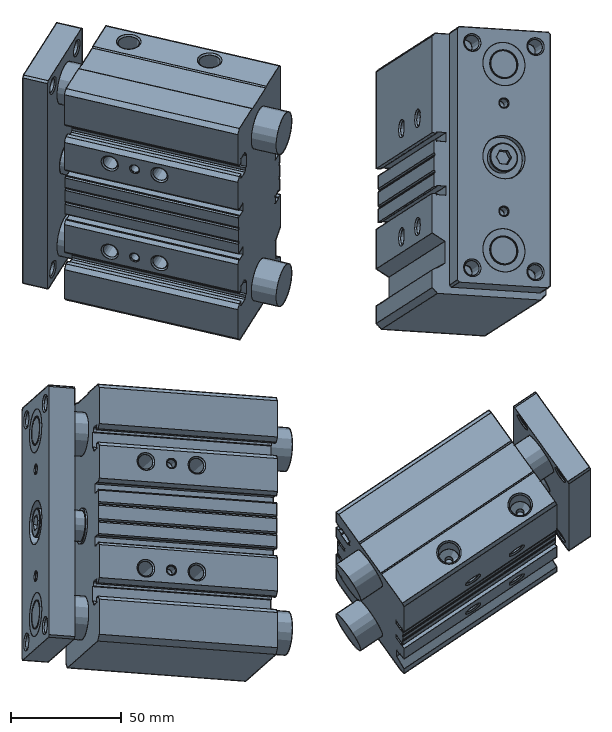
import cadquery as cq
import math


overall_length = 118.0
plate_thickness = 12.0
plate_gap = 10.1
housing_length = 83.9
plate_front = -overall_length / 2
plate_back = plate_front + plate_thickness
housing_front = plate_back + plate_gap

housing_depth = 54.0
housing_height = 120.0
half_depth = housing_depth / 2
half_height = housing_height / 2
corner_bevel = 2.0
foot_bevel = 2.5
back_top_bevel = 1.5
top_recess_mouth = 18.0
top_recess_floor = 16.5
top_recess_depth = 0.5

t_slot_z = 36.0
t_slot_opening = 6.2
t_slot_cavity_height = 11.0
t_slot_lip = 4.1
t_slot_cavity_depth = 9.5
t_slot_relief_height = 7.1
t_slot_depth = 10.7
t_slot_mouth_bevel = 1.9
t_slot_root_bevel = 0.6
side_slot_z = 12.4
side_slot_width = 4.2
side_slot_mouth = 3.2
side_slot_lip = 2.3
side_slot_depth = 6.6
front_slot_bevel = 1.5
band_recess = 1.0
v_groove_z = 4.0
v_groove_width = 1.7
v_groove_depth = 0.5
back_channel_z = -40.8
back_channel_mouth = 17.0
back_channel_depth = 6.0
back_channel_slope = 30.0

mount_hole_z = 25.0
mount_hole_xs = (housing_front + 22.0, housing_front + 46.0)
mount_hole_diameter = 6.8
mount_hole_mouth = 8.3
housing_pin_x = housing_front + 34.0
pin_diameter = 4.0
pin_mouth = 4.8
pin_hole_depth = 6.0
port_xs = (housing_front + 13.9, housing_front + 53.0)
port_y = 18.0
port_diameter = 9.6
port_mouth = 11.0
port_depth = 12.0
port_passage_diameter = 3.6
port_passage_depth = 4.8
drill_point_angle = 118.0

plate_depth = 44.0
plate_height = 118.0
plate_bevel = 1.0
plate_screw_y = 15.0
plate_screw_z = 52.0
plate_screw_diameter = 6.8
plate_screw_mouth = 8.2

guide_diameter = 19.9
guide_z = 43.0
guide_ring_diameter = 13.2
guide_ring_width = 0.4
guide_ring_depth = 0.5
piston_diameter = 14.0
piston_spigot_diameter = 13.2
piston_bevel = 0.4
piston_engagement = housing_length / 2
piston_counterbore_depth = 4.0
collar_diameter = 16.3
collar_length = 0.8
hex_flats = 6.2
hex_depth = 3.0

INTO_X = cq.Vector(1, 0, 0)
INTO_Y = cq.Vector(0, 1, 0)
DOWN_Z = cq.Vector(0, 0, -1)


def cylinder(start, direction, diameter, length):
    return cq.Solid.makeCylinder(diameter / 2, length, start, direction)


def drill_point(start, direction, large_diameter, small_diameter=0.0):
    """Cone that a drill leaves between two diameters, and its length."""
    length = (large_diameter - small_diameter) / 2 / math.tan(math.radians(drill_point_angle / 2))
    cone = cq.Solid.makeCone(large_diameter / 2, small_diameter / 2, length, start, direction)
    return cone, length


def countersink(start, direction, mouth, diameter):
    """45 degree countersink from the mouth down to the hole diameter."""
    return cq.Solid.makeCone(mouth / 2, diameter / 2, (mouth - diameter) / 2, start, direction)


def pin_hole(start, direction):
    """Blind drilled hole with a countersunk mouth."""
    point, _ = drill_point(start + direction * pin_hole_depth, direction, pin_diameter)
    bore = cylinder(start, direction, pin_diameter, pin_hole_depth)
    return bore.fuse(point, countersink(start, direction, pin_mouth, pin_diameter))


def through_hole(start, direction, diameter, mouth, length):
    """Through hole countersunk at both ends."""
    bore = cylinder(start, direction, diameter, length)
    near_mouth = countersink(start, direction, mouth, diameter)
    far_mouth = countersink(start + direction * length, direction * -1, mouth, diameter)
    return bore.fuse(near_mouth, far_mouth)


def port_hole(start):
    """Stepped port: countersunk bore narrowing to a small passage."""
    bore_end = start + DOWN_Z * port_depth
    shoulder, shoulder_length = drill_point(bore_end, DOWN_Z, port_diameter, port_passage_diameter)
    passage_length = shoulder_length + port_passage_depth
    return cylinder(start, DOWN_Z, port_diameter, port_depth).fuse(
        countersink(start, DOWN_Z, port_mouth, port_diameter),
        shoulder,
        cylinder(bore_end, DOWN_Z, port_passage_diameter, passage_length),
    )


def housing_prism(section):
    """Prism along the whole housing from a list of (y, z) points."""
    return cq.Workplane("YZ", origin=(housing_front, 0, 0)).polyline(section).close().extrude(housing_length)


def side_prism(side, centre_z, half_section):
    """Groove prism on side -1 (front) or +1 (back).

    The half section lists (depth below the side face, height above the groove centre).
    """
    upper = [(side * (half_depth - depth), centre_z + height) for depth, height in half_section]
    lower = [(side * (half_depth - depth), centre_z - height) for depth, height in reversed(half_section)]
    return housing_prism(upper + lower)


def housing_blank():
    return housing_prism([
        (-half_depth, -half_height + foot_bevel),
        (-half_depth + foot_bevel, -half_height),
        (half_depth - foot_bevel, -half_height),
        (half_depth, -half_height + foot_bevel),
        (half_depth, half_height - back_top_bevel),
        (half_depth - back_top_bevel, half_height),
        (-half_depth + corner_bevel, half_height),
        (-half_depth, half_height - corner_bevel),
    ])


def top_recess():
    half_floor = top_recess_floor / 2
    half_mouth = top_recess_mouth / 2
    floor_z = half_height - top_recess_depth
    return housing_prism([
        (-half_floor, floor_z),
        (half_floor, floor_z),
        (half_mouth, half_height),
        (-half_mouth, half_height),
    ])


def t_slot(centre_z):
    opening = t_slot_opening / 2
    cavity = t_slot_cavity_height / 2
    relief = t_slot_relief_height / 2
    return side_prism(-1, centre_z, [
        (0, opening + t_slot_mouth_bevel),
        (t_slot_mouth_bevel, opening),
        (t_slot_lip, opening),
        (t_slot_lip, cavity),
        (t_slot_cavity_depth - t_slot_root_bevel, cavity),
        (t_slot_cavity_depth, cavity - t_slot_root_bevel),
        (t_slot_cavity_depth, relief),
        (t_slot_depth, relief),
    ])


def side_slot(side, centre_z):
    """Plain slot behind a slightly narrower mouth."""
    mouth = side_slot_mouth / 2
    half_width = side_slot_width / 2
    return side_prism(side, centre_z, [
        (0, mouth),
        (side_slot_lip, mouth),
        (side_slot_lip, half_width),
        (side_slot_depth, half_width),
    ])


def front_slot_flare(centre_z):
    """45 degree flare at the mouth of a front side slot."""
    mouth = side_slot_mouth / 2
    return side_prism(-1, centre_z, [(0, mouth + front_slot_bevel), (front_slot_bevel, mouth)])


def centre_band(side):
    """Shallow step that sets the face between the side slots back."""
    return side_prism(side, 0, [(0, side_slot_z), (band_recess, side_slot_z)])


def v_groove(side, centre_z):
    half_width = v_groove_width / 2
    return side_prism(side, centre_z, [
        (0, half_width),
        (band_recess, half_width),
        (band_recess + v_groove_depth, 0.1),
    ])


def back_channel():
    """Wide channel in the back face, narrowing towards its floor."""
    mouth = back_channel_mouth / 2
    floor = mouth - back_channel_depth * math.tan(math.radians(back_channel_slope))
    return side_prism(1, back_channel_z, [(0, mouth), (back_channel_depth, floor)])


def make_housing():
    housing = housing_blank()

    collar_start = cq.Vector(housing_front - collar_length, 0, 0)
    housing = housing.union(cylinder(collar_start, INTO_X, collar_diameter, 2 * collar_length))

    housing = housing.cut(top_recess()).cut(back_channel())
    for side in (-1, 1):
        housing = housing.cut(centre_band(side))
        for level in (-1, 1):
            housing = housing.cut(side_slot(side, level * side_slot_z))
            housing = housing.cut(v_groove(side, level * v_groove_z))
    for level in (-1, 1):
        housing = housing.cut(front_slot_flare(level * side_slot_z))
        housing = housing.cut(t_slot(level * t_slot_z))

    for level in (-1, 1):
        hole_z = level * mount_hole_z
        for hole_x in mount_hole_xs:
            start = cq.Vector(hole_x, -half_depth, hole_z)
            housing = housing.cut(
                through_hole(start, INTO_Y, mount_hole_diameter, mount_hole_mouth, housing_depth)
            )
        housing = housing.cut(pin_hole(cq.Vector(housing_pin_x, -half_depth, hole_z), INTO_Y))
    for port_x in port_xs:
        housing = housing.cut(port_hole(cq.Vector(port_x, port_y, half_height)))

    for level in (-1, 1):
        bore_start = cq.Vector(housing_front, 0, level * guide_z)
        housing = housing.cut(cylinder(bore_start, INTO_X, guide_diameter, housing_length))
    return housing.cut(
        cylinder(collar_start, INTO_X, piston_diameter, collar_length + piston_engagement)
    )


def make_plate():
    plate = (
        cq.Workplane("YZ", origin=(plate_front, 0, 0))
        .rect(plate_depth, plate_height)
        .extrude(plate_thickness)
        .edges("|X")
        .chamfer(plate_bevel)
    )
    for level in (-1, 1):
        for side in (-1, 1):
            start = cq.Vector(plate_front, side * plate_screw_y, level * plate_screw_z)
            plate = plate.cut(
                through_hole(start, INTO_X, plate_screw_diameter, plate_screw_mouth, plate_thickness)
            )
        plate = plate.cut(pin_hole(cq.Vector(plate_front, 0, level * mount_hole_z), INTO_X))
        guide_start = cq.Vector(plate_front, 0, level * guide_z)
        plate = plate.cut(cylinder(guide_start, INTO_X, guide_diameter, plate_thickness))
    piston_start = cq.Vector(plate_front, 0, 0)
    plate = plate.cut(cylinder(piston_start, INTO_X, piston_spigot_diameter, plate_thickness))
    return plate.cut(cylinder(piston_start, INTO_X, guide_diameter, piston_counterbore_depth))


def make_guide_rod(centre_z):
    """Guide rod flush with the plate, with a fine ring groove in its front end."""
    front_end = cq.Workplane("YZ", origin=(plate_front, 0, centre_z))
    rod = front_end.circle(guide_diameter / 2).extrude(overall_length)
    ring = (
        front_end.circle(guide_ring_diameter / 2)
        .circle(guide_ring_diameter / 2 - guide_ring_width)
        .extrude(guide_ring_depth)
    )
    return rod.cut(ring)


def make_piston_rod():
    """Piston rod whose thinner, bevelled front end in the plate has a hexagon socket."""
    front_end = cq.Workplane("YZ", origin=(plate_front, 0, 0))
    spigot = front_end.circle(piston_spigot_diameter / 2).extrude(plate_thickness)
    spigot = spigot.faces("<X").chamfer(piston_bevel)
    shank_start = cq.Vector(plate_back, 0, 0)
    shank = cylinder(shank_start, INTO_X, piston_diameter, plate_gap + piston_engagement)
    hex_corners = hex_flats / math.cos(math.radians(30))
    socket = front_end.polygon(6, hex_corners).extrude(hex_depth)
    return spigot.union(shank).cut(socket)


housing = make_housing()
plate = make_plate()
piston_rod = make_piston_rod()
guide_rods = [make_guide_rod(level * guide_z) for level in (-1, 1)]

result = cq.Compound.makeCompound([
    housing.val(),
    plate.val(),
    piston_rod.val(),
    *[guide_rod.val() for guide_rod in guide_rods],
])